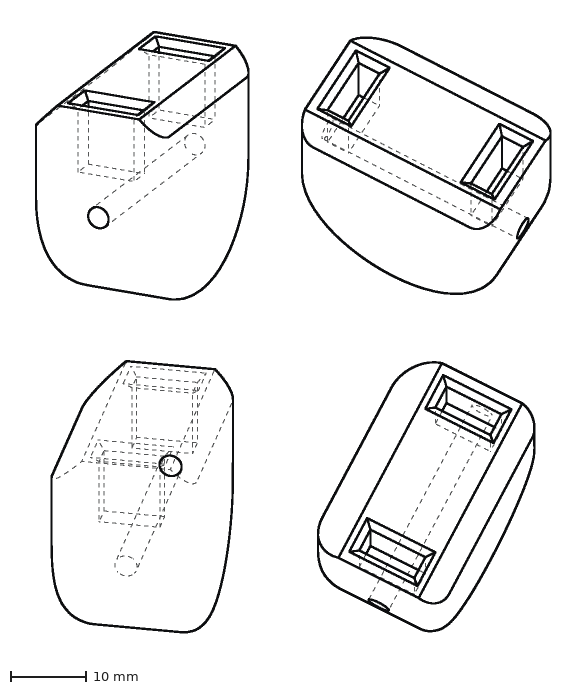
import cadquery as cq

width = 20.0
length = 30.0
height = 30.0
end_radius = length / 2
axis_z = height - end_radius

left_round = 5.0
right_round = 3.0
flat_centre_x = (left_round + width - right_round) / 2

hole_diameter = 3.0

socket_width = 8.22
socket_length = 3.2
socket_depth = 10.0
socket_bevel = 1.0
socket_centre_inset = 4.0


def make_body():
    """Extrude the U outline along X and round its two rims, leaving the top edges sharp."""
    outline = (
        cq.Workplane("YZ")
        .moveTo(-end_radius, height)
        .lineTo(-end_radius, axis_z)
        .threePointArc((0, axis_z - end_radius), (end_radius, axis_z))
        .lineTo(end_radius, height)
        .close()
    )
    body = outline.extrude(width)
    body = body.faces("<X").edges("not(>Z)").fillet(left_round)
    return body.faces(">X").edges("not(>Z)").fillet(right_round)


def make_top_bevel(side_x, bevel):
    """Triangular cutter along one long top edge; a negative bevel runs toward -X."""
    return (
        cq.Workplane("XZ", origin=(0, end_radius, 0))
        .moveTo(side_x, height)
        .lineTo(side_x + bevel, height)
        .lineTo(side_x, height - abs(bevel))
        .close()
        .extrude(length)
    )


def make_socket(centre_y):
    """Rectangular pocket with a tapered mouth opening at the top face."""
    pocket = (
        cq.Workplane("XY", origin=(flat_centre_x, centre_y, height - socket_depth))
        .rect(socket_width, socket_length)
        .extrude(socket_depth)
    )
    mouth = (
        cq.Workplane("XY", origin=(flat_centre_x, centre_y, height))
        .rect(socket_width + 2 * socket_bevel, socket_length + 2 * socket_bevel)
        .workplane(offset=-socket_bevel)
        .rect(socket_width, socket_length)
        .loft(ruled=True)
    )
    return pocket.union(mouth)


def make_cross_hole():
    """Round cutter through the full length of the block."""
    return (
        cq.Workplane("XZ", origin=(flat_centre_x, end_radius, axis_z))
        .circle(hole_diameter / 2)
        .extrude(length)
    )


result = make_body()
result = result.cut(make_top_bevel(0, left_round))
result = result.cut(make_top_bevel(width, -right_round))
for end in (-1, 1):
    result = result.cut(make_socket(end * (end_radius - socket_centre_inset)))
result = result.cut(make_cross_hole())